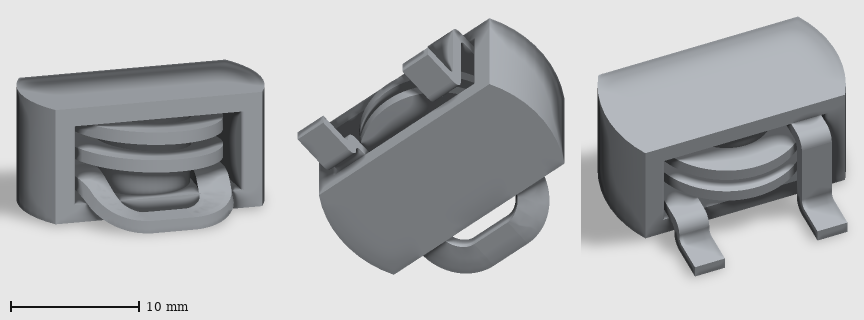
import cadquery as cq
import math

core_diameter = 19.32
core_width = 9.45
core_top = 9.45
core_bottom = 0.2
plate_thickness = 1.45
window_width = 13.56
window_edge_radius = 0.23
post_diameter = 7.7

wire_width = 2.53
wire_thickness = 1.0
coil_turns = 2
coil_pitch = 2.25
first_lead_top = 7.95
last_lead_top = 2.7
coil_inner_radius = 3.9
coil_mid_radius = coil_inner_radius + wire_width / 2
coil_end_z = first_lead_top - wire_thickness / 2 - coil_turns * coil_pitch
last_lead_z = last_lead_top - wire_thickness / 2

leg_outer_x = -6.8
foot_end_x = -9.95
bend_outer_radius = 1.0
bend_inner_radius = 0.55

pad_outer_x = 8.75
pad_half_length = 1.66
pad_corner_radius = 4.25
pad_mid_x = pad_outer_x - wire_width / 2
pad_mid_z = wire_thickness / 2
front_swing_tilt = math.radians(20)
rear_swing_tilt = math.radians(12)
descent_start = 0.1

strand_samples = 24
edge_margin = 0.02


def make_core():
    height = core_top - core_bottom
    envelope = cq.Workplane("XY").box(core_width, core_diameter, height, centered=(True, True, False))
    drum = cq.Workplane("XY").circle(core_diameter / 2).extrude(height)
    window = (
        cq.Workplane("XY", origin=(0, 0, plate_thickness))
        .box(core_width, window_width, height - 2 * plate_thickness, centered=(True, True, False))
    )
    frame = drum.intersect(envelope).cut(window)
    for side in (-1, 1):
        corner_x = side * core_width / 2
        selector = cq.selectors.BoxSelector(
            (corner_x - edge_margin, -window_width / 2 - edge_margin, plate_thickness - edge_margin),
            (corner_x + edge_margin, window_width / 2 + edge_margin, height - plate_thickness + edge_margin),
        )
        frame = frame.edges(selector).edges("|Z").fillet(window_edge_radius)
    post = cq.Workplane("XY").circle(post_diameter / 2).extrude(height)
    return frame.union(post).translate((0, 0, core_bottom))


def wire_corners(centre, heading, tilt):
    """Corners of the wire section; heading is the horizontal outward angle, tilt lowers the inner edge."""
    x, y, z = centre
    corners = []
    for across, up in ((-1, -1), (1, -1), (1, 1), (-1, 1)):
        half_width = across * wire_width / 2
        half_height = up * wire_thickness / 2
        outward = half_width * math.cos(tilt) - half_height * math.sin(tilt)
        rise = half_width * math.sin(tilt) + half_height * math.cos(tilt)
        corners.append(
            cq.Vector(x + outward * math.cos(heading), y + outward * math.sin(heading), z + rise)
        )
    return corners


def make_strand(section_at):
    """Solid wire whose section corners follow section_at(s) for s from 0 to 1."""
    stations = [section_at(i / strand_samples) for i in range(strand_samples + 1)]
    rails = [cq.Edge.makeSpline([station[k] for station in stations]) for k in range(4)]
    faces = [cq.Face.makeRuledSurface(rails[k], rails[(k + 1) % 4]) for k in range(4)]
    for end in (stations[0], stations[-1]):
        faces.append(cq.Face.makeFromWires(cq.Wire.makePolygon(end, close=True)))
    return cq.Workplane(cq.Solid.makeSolid(cq.Shell.makeShell(faces)))


def make_coil_turn(turn):
    def section_at(s):
        angle = -math.pi / 2 + 2 * math.pi * s
        centre = (
            coil_mid_radius * math.cos(angle),
            coil_mid_radius * math.sin(angle),
            first_lead_top - wire_thickness / 2 - coil_pitch * (turn + s),
        )
        return wire_corners(centre, angle, 0)

    return make_strand(section_at)


def make_swing(start_z, side, peak_tilt):
    """Wire swinging out and down from (0, side * coil_mid_radius) to the solder pad.

    Its centre line is a wide arc followed by a tangent corner arc. It lies flat at both ends and
    tilts by peak_tilt halfway.
    """
    corner_radius = pad_corner_radius - wire_width / 2
    corner_x = pad_mid_x - corner_radius
    offset_y = coil_mid_radius - corner_radius - pad_half_length
    wide_excess = (corner_x ** 2 + offset_y ** 2) / (2 * offset_y)
    wide_radius = corner_radius + wide_excess
    wide_angle = math.asin(corner_x / wide_excess)
    corner_angle = math.pi / 2 - wide_angle
    wide_length = wide_radius * wide_angle
    total_length = wide_length + corner_radius * corner_angle

    def section_at(s):
        travel = s * total_length
        if travel < wide_length:
            heading = math.pi / 2 - travel / wide_radius
            x = wide_radius * math.cos(heading)
            y = coil_mid_radius - wide_radius + wide_radius * math.sin(heading)
        else:
            heading = corner_angle - (travel - wide_length) / corner_radius
            x = corner_x + corner_radius * math.cos(heading)
            y = pad_half_length + corner_radius * math.sin(heading)
        fall = max(0, (s - descent_start) / (1 - descent_start))
        height_left = (1 - fall) ** 2 * (1 + 2 * fall)
        z = pad_mid_z + (start_z - pad_mid_z) * height_left
        tilt = peak_tilt * math.sin(math.pi * s) ** 4
        return wire_corners((x, side * y, z), side * heading, tilt)

    return make_strand(section_at)


def make_pad():
    return cq.Workplane("XY").box(wire_width, 2 * pad_half_length, wire_thickness).translate(
        (pad_mid_x, 0, pad_mid_z)
    )


def make_lead(top_z, side):
    """Straight lead, leg and foot, bent from the wire and ending at x = 0."""
    leg_inner_x = leg_outer_x + wire_thickness
    outline = (
        cq.Workplane("XZ")
        .moveTo(0, top_z)
        .lineTo(leg_outer_x, top_z)
        .lineTo(leg_outer_x, wire_thickness)
        .lineTo(foot_end_x, wire_thickness)
        .lineTo(foot_end_x, 0)
        .lineTo(leg_inner_x, 0)
        .lineTo(leg_inner_x, top_z - wire_thickness)
        .lineTo(0, top_z - wire_thickness)
        .close()
    )
    lead = outline.extrude(wire_width / 2, both=True)
    outer_bends = ((leg_outer_x, top_z), (leg_inner_x, 0))
    inner_bends = ((leg_outer_x, wire_thickness), (leg_inner_x, top_z - wire_thickness))
    for bends, radius in ((outer_bends, bend_outer_radius), (inner_bends, bend_inner_radius)):
        for x, z in bends:
            lead = lead.edges(cq.selectors.NearestToPointSelector((x, 0, z))).fillet(radius)
    return lead.translate((0, side * coil_mid_radius, 0))


result = make_core()
for turn in range(coil_turns):
    result = result.union(make_coil_turn(turn))
result = result.union(make_swing(coil_end_z, -1, front_swing_tilt))
result = result.union(make_pad())
result = result.union(make_swing(last_lead_z, 1, rear_swing_tilt))
result = result.union(make_lead(first_lead_top, -1))
result = result.union(make_lead(last_lead_top, 1))